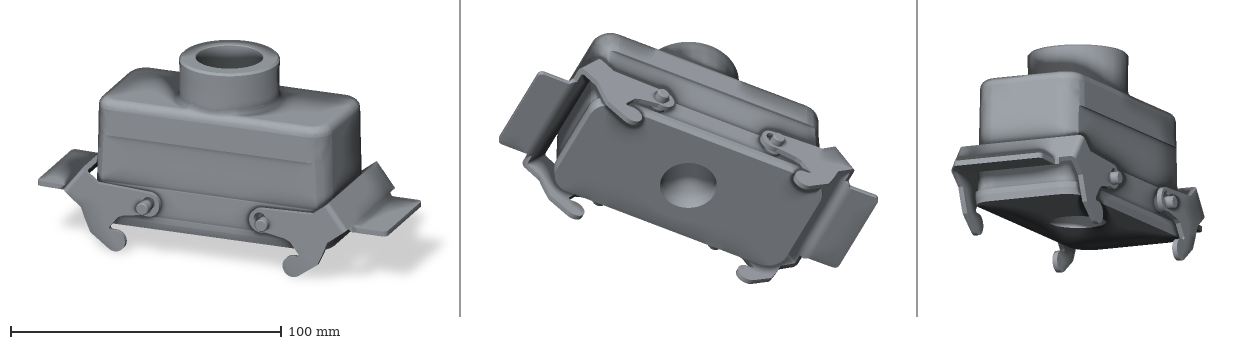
import cadquery as cq
import math

HOOD_HEIGHT = 47.4
BODY_LENGTH = 93.9
BODY_WIDTH = 43.5
BODY_CORNER = 7.7
BODY_DRAFT = 1.0
BODY_TOP_ROUND = 3.3

RIM_LENGTH = 95.3
RIM_WIDTH = 44.9
RIM_HEIGHT = 4.7
RIM_CORNER = 8.4
RIM_BEVEL_HEIGHT = 2.7
RIM_BEVEL_INSET = 0.4

PANEL_BOTTOM = 15.8
PANEL_TOP = 34.2
PANEL_FACE = 20.4

BOSS_DIAMETER = 37.0
BOSS_TOP_DIAMETER = 37.4
BOSS_TOP = 63.5
BOSS_CHAMFER = 0.8
BOSS_FOOT_FILLET = 2.1
BORE_DIAMETER = 25.0
BORE_DEPTH = 14.0
BORE_CHAMFER = 0.3
ENTRY_DIAMETER = 21.0

PIN_X = 23.7
PIN_Z = 9.6
PIN_DIAMETER = 4.7
PIN_TIP_DIAMETER = 4.0
PIN_SPAN = 57.0
PIN_COLLAR_DIAMETER = 7.0
PIN_COLLAR_FACE = 23.3
PIN_COLLAR_CHAMFER = 0.5

SHEET = 2.0
LEVER_WIDTH = 51.0
LEVER_SIDE_PLAY = 0.18
BEND_OUTER = SHEET
BEND_INNER = 0.8
PLATE_TOP = (49.2, 20.6)
PLATE_BOTTOM = (56.5, 11.0)
EAR_CENTRE = (22.6, 10.6)
EAR_RADIUS = 4.6
HOOK_CENTRE = (35.3, -5.9)
HOOK_RADIUS = 4.0
NOTCH_RADIUS = 0.8
NOTCH_X = 36.8
SHOULDER = (42.8, 15.8)
BACK_CORNERS = [(49.1, 5.5), (47.1, 0.5), (45.0, -3.9)]
FRONT_CORNERS = [(34.2, 3.9), (32.0, 4.9)]
EAR_ARC_START = 290.0
EAR_ARC_END = 85.0
HOOK_ARC_START = 306.0
SLOT_TRAVEL = 2.4
SLOT_ANGLE = 130.0
SLOT_WIDTH = PIN_DIAMETER
TAB_END = 69.7
TAB_WIDTH = 36.3
TAB_CORNER = 1.8
TAB_TOP = 10.0
TAB_FLARE = 1.1
LEFT_TILT = 1.5


def rounded_rectangle(length, width, corner):
    """Sketch of a centred rectangle with round corners."""
    return cq.Sketch().rect(length, width).vertices().fillet(corner)


def hood_body():
    """Drafted box with a rounded top edge, standing on a bevelled rim."""
    draft_loss = 2 * HOOD_HEIGHT * math.tan(math.radians(BODY_DRAFT))
    foot = rounded_rectangle(BODY_LENGTH, BODY_WIDTH, BODY_CORNER)
    top = rounded_rectangle(BODY_LENGTH - draft_loss, BODY_WIDTH - draft_loss, BODY_CORNER)
    box = cq.Workplane("XY").placeSketch(foot, top.moved(cq.Location((0, 0, HOOD_HEIGHT)))).loft()
    box = box.faces(">Z").edges().fillet(BODY_TOP_ROUND)
    rim_outline = rounded_rectangle(RIM_LENGTH, RIM_WIDTH, RIM_CORNER)
    rim = cq.Workplane("XY").placeSketch(rim_outline).extrude(RIM_HEIGHT)
    rim = rim.faces("<Z").edges().chamfer(RIM_BEVEL_HEIGHT, RIM_BEVEL_INSET)
    return box.union(rim)


def panel_recess(side):
    """Cutter for the flat label panel on one long side (side is -1 or +1)."""
    depth = BODY_WIDTH / 2
    height = PANEL_TOP - PANEL_BOTTOM
    centre = (0, side * (PANEL_FACE + depth / 2), PANEL_BOTTOM + height / 2)
    return cq.Workplane("XY").box(BODY_LENGTH, depth, height).translate(centre)


def add_cable_boss(body):
    """Round cable entry, filleted into the flat top and the rounded top edge below it."""
    radius = BOSS_DIAMETER / 2
    top_radius = BOSS_TOP_DIAMETER / 2
    sunk_foot = HOOD_HEIGHT - 2 * BODY_TOP_ROUND
    boss = (
        cq.Workplane("XZ")
        .moveTo(0, sunk_foot)
        .lineTo(radius, sunk_foot)
        .lineTo(top_radius, BOSS_TOP - BOSS_CHAMFER)
        .lineTo(top_radius - BOSS_CHAMFER, BOSS_TOP)
        .lineTo(0, BOSS_TOP)
        .close()
        .revolve(360, (0, 0, 0), (0, 1, 0))
    )
    foot_low = HOOD_HEIGHT - BODY_TOP_ROUND / 2
    foot_high = HOOD_HEIGHT + BOSS_FOOT_FILLET / 2
    reach = radius + BOSS_FOOT_FILLET
    foot = cq.selectors.BoxSelector((-reach, -reach, foot_low), (reach, reach, foot_high))
    return body.union(boss).edges(foot).fillet(BOSS_FOOT_FILLET)


def cable_bore():
    """Stepped cutter: chamfered bore in the boss, narrower entry right through the hood."""
    bore = cq.Workplane("XY").workplane(offset=BOSS_TOP).circle(BORE_DIAMETER / 2).extrude(-BORE_DEPTH)
    mouth = (
        cq.Workplane("XY")
        .workplane(offset=BOSS_TOP)
        .circle(BORE_DIAMETER / 2 + BORE_CHAMFER)
        .workplane(offset=-BORE_CHAMFER)
        .circle(BORE_DIAMETER / 2)
        .loft()
    )
    entry = cq.Workplane("XY").circle(ENTRY_DIAMETER / 2).extrude(BOSS_TOP)
    return bore.union(mouth).union(entry)


def pivot_pin(x, side):
    """Pin and collar standing out of one long side of the hood."""
    root = PANEL_FACE
    tip = PIN_SPAN / 2
    chamfer = (PIN_DIAMETER - PIN_TIP_DIAMETER) / 2
    base = cq.Workplane("XZ", origin=(x, 0, PIN_Z)).workplane(offset=root)
    pin = base.circle(PIN_DIAMETER / 2).extrude(tip - root).faces("<Y").edges().chamfer(chamfer)
    collar = base.circle(PIN_COLLAR_DIAMETER / 2).extrude(PIN_COLLAR_FACE - root)
    collar = collar.faces("<Y").edges().chamfer(PIN_COLLAR_CHAMFER)
    stud = pin.union(collar)
    return stud if side < 0 else stud.mirror("XZ")


def make_hood():
    hood = hood_body()
    for side in (-1, 1):
        hood = hood.cut(panel_recess(side))
    hood = add_cable_boss(hood).cut(cable_bore())
    for side in (-1, 1):
        for x in (-PIN_X, PIN_X):
            hood = hood.union(pivot_pin(x, side))
    return hood


def point_on(centre, radius, angle):
    """Point on a circle, angle in degrees from +X."""
    a = math.radians(angle)
    return (centre[0] + radius * math.cos(a), centre[1] + radius * math.sin(a))


def across(width):
    """XZ workplane from which extruding by width is centred on the middle plane."""
    return cq.Workplane("XZ", origin=(0, width / 2, 0))


PLATE_LENGTH = math.dist(PLATE_TOP, PLATE_BOTTOM)
RUN_X = (PLATE_BOTTOM[0] - PLATE_TOP[0]) / PLATE_LENGTH
RUN_Z = (PLATE_BOTTOM[1] - PLATE_TOP[1]) / PLATE_LENGTH


def from_plate(point, along, inward):
    """Point reached by moving along the plate and inwards from its outer face."""
    return (point[0] + along * RUN_X + inward * RUN_Z, point[1] + along * RUN_Z - inward * RUN_X)


def cheek_outline():
    """Side profile of the lever: ear, hook and slanted back."""
    hook_top = point_on(HOOK_CENTRE, HOOK_RADIUS, 90)
    hook_left = point_on(HOOK_CENTRE, HOOK_RADIUS, 180)
    notch_centre = (NOTCH_X, hook_top[1] + NOTCH_RADIUS)
    outline = (
        across(LEVER_WIDTH)
        .moveTo(*PLATE_TOP)
        .lineTo(*PLATE_BOTTOM)
        .lineTo(*from_plate(PLATE_BOTTOM, 0, SHEET))
    )
    for corner in BACK_CORNERS:
        outline = outline.lineTo(*corner)
    outline = (
        outline.lineTo(*point_on(HOOK_CENTRE, HOOK_RADIUS, HOOK_ARC_START))
        .threePointArc(hook_left, hook_top)
        .lineTo(notch_centre[0], hook_top[1])
        .threePointArc(point_on(notch_centre, NOTCH_RADIUS, 0), point_on(notch_centre, NOTCH_RADIUS, 45))
    )
    for corner in FRONT_CORNERS:
        outline = outline.lineTo(*corner)
    return (
        outline.lineTo(*point_on(EAR_CENTRE, EAR_RADIUS, EAR_ARC_START))
        .threePointArc(
            point_on(EAR_CENTRE, EAR_RADIUS, 180), point_on(EAR_CENTRE, EAR_RADIUS, EAR_ARC_END)
        )
        .lineTo(*SHOULDER)
        .close()
    )


def edges_around(point):
    """Selector for the edges on both sides whose midpoints lie near a point (x, z)."""
    margin = SHEET / 2
    return cq.selectors.BoxSelector(
        (point[0] - margin, -LEVER_WIDTH, point[1] - margin),
        (point[0] + margin, LEVER_WIDTH, point[1] + margin),
    )


def lever_channel():
    """Two cheeks joined by the slanted plate, with rounded bends."""
    blank = cheek_outline().extrude(LEVER_WIDTH)
    blank = blank.edges(edges_around(from_plate(PLATE_TOP, PLATE_LENGTH / 2, 0))).fillet(BEND_OUTER)
    inner_width = LEVER_WIDTH - 2 * SHEET
    reach = LEVER_WIDTH
    corners = [
        from_plate(PLATE_TOP, -reach, SHEET),
        from_plate(PLATE_TOP, reach, SHEET),
        from_plate(PLATE_TOP, reach, reach),
        from_plate(PLATE_TOP, -reach, reach),
    ]
    inside = across(inner_width).polyline(corners).close().extrude(inner_width)
    inside = inside.edges(edges_around(from_plate(PLATE_TOP, 0, SHEET))).fillet(BEND_INNER)
    return blank.cut(inside)


def lever_tab():
    """Finger tab bent out level from the foot of the plate, flared at its root."""
    bend_angle = math.degrees(math.acos(RUN_X))
    tangent = (TAB_TOP - PLATE_BOTTOM[1]) / RUN_Z
    bend_radius = tangent / math.tan(math.radians(bend_angle / 2))
    bend_end = PLATE_BOTTOM[0] + tangent * RUN_X + tangent
    bend_centre = (bend_end, TAB_TOP + bend_radius)
    mid_angle = -90 - bend_angle / 2
    root_width = TAB_WIDTH + 2 * TAB_FLARE
    tab = (
        across(root_width)
        .moveTo(*PLATE_BOTTOM)
        .threePointArc(point_on(bend_centre, bend_radius, mid_angle), (bend_end, TAB_TOP))
        .lineTo(TAB_END, TAB_TOP)
        .lineTo(TAB_END, TAB_TOP - SHEET)
        .lineTo(bend_end, TAB_TOP - SHEET)
        .threePointArc(
            point_on(bend_centre, bend_radius + SHEET, mid_angle), from_plate(PLATE_BOTTOM, 0, SHEET)
        )
        .close()
        .extrude(root_width)
    )
    root = PLATE_BOTTOM[0] - 2 * SHEET
    flare_start = PLATE_BOTTOM[0]
    half = TAB_WIDTH / 2
    planform = (
        cq.Workplane("XY")
        .moveTo(root, half + TAB_FLARE)
        .lineTo(flare_start, half + TAB_FLARE)
        .lineTo(flare_start + TAB_FLARE, half)
        .lineTo(TAB_END, half)
        .lineTo(TAB_END, -half)
        .lineTo(flare_start + TAB_FLARE, -half)
        .lineTo(flare_start, -half - TAB_FLARE)
        .lineTo(root, -half - TAB_FLARE)
        .close()
        .extrude(LEVER_WIDTH)
        .faces(">X")
        .edges("|Z")
        .fillet(TAB_CORNER)
    )
    return tab.intersect(planform)


def pin_slot():
    """Cutter for the slot through both cheeks, running from the pin up into the ear."""
    far_end = point_on((0, 0), SLOT_TRAVEL, SLOT_ANGLE)
    return (
        across(LEVER_WIDTH)
        .center(PIN_X + far_end[0] / 2, PIN_Z + far_end[1] / 2)
        .slot2D(SLOT_TRAVEL + SLOT_WIDTH, SLOT_WIDTH, SLOT_ANGLE)
        .extrude(LEVER_WIDTH)
    )


def make_lever():
    lever = lever_channel().union(lever_tab()).cut(pin_slot())
    return lever.translate((0, -LEVER_SIDE_PLAY, 0))


def place_left(lever):
    """Turn a lever to the other end of the hood and tilt it about its pins."""
    turned = lever.rotate((0, 0, 0), (0, 0, 1), 180)
    return turned.rotate((-PIN_X, 0, PIN_Z), (-PIN_X, 1, PIN_Z), LEFT_TILT)


hood = make_hood()
right_lever = make_lever()
left_lever = place_left(make_lever())

result = cq.Compound.makeCompound([hood.val(), right_lever.val(), left_lever.val()])